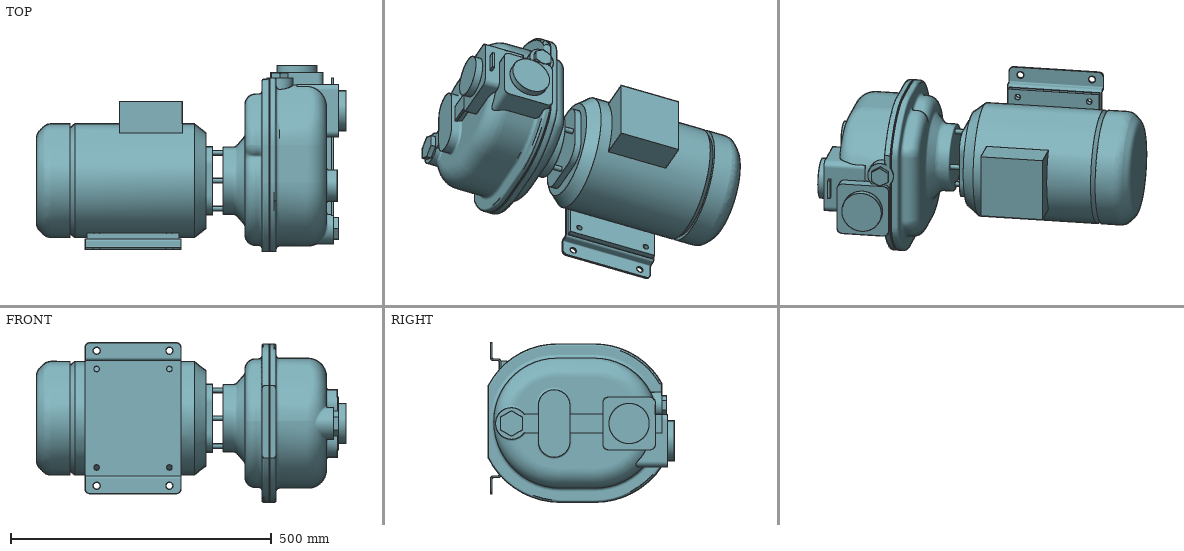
import cadquery as cq
import math


MOTOR_R = 109.5
MOTOR_LEN = 326.0
CAP_BEVEL = 19.5
CAP_BEVEL_R = 20.0
GROOVE_X = 65.0
GROOVE_W = 9.0
GROOVE_DEPTH = 8.0
CONE_LEN = 22.5
CONE_R = 91.5

END_PLATE_X = MOTOR_LEN
END_PLATE_T = 12.5
END_PLATE_SIZE = 131.0
END_PLATE_CORNER_R = 35.0

BOX_X0 = 159.5
BOX_LEN = 120.5
BOX_TOP_Y = 152.0
BOX_WIDTH = 120.0

FOOT_X = 185.5
FOOT_BLOCK_LEN = 177.0
FOOT_TOP_Y = -100.5
FOOT_BLOCK_Y = -112.0
FOOT_BLOCK_HALF_Z = 110.0
SHEET_LEN = 184.0
SHEET_T = 3.5
SHEET_WEB_Z = 114.0
SHEET_RIM_Y = -132.0
SHEET_RIM_Z = 145.0
BEND_R = 2.0
RIM_CORNER_R = 9.5
HOLE_PITCH_X = 140.0
RIM_HOLE_D = 13.0
RIM_HOLE_Z = 129.5
PLATE_HOLE_D = 10.5
PLATE_HOLE_Z = 94.5

STUD_D = 9.5
STUD_CIRCLE_R = 53.5
STUD_COUNT = 4

NECK_X = 358.0
NECK_R = 65.0
NECK_CONE_X = 382.0
NECK_CONE_R = 85.0
NECK_EDGE_R = 2.5
NECK_FLARE_R = 8.5
NECK_ROOT_R = 9.0
VOLUTE_X = 400.0
FLANGE_X0 = 433.0
JOINT_X = 446.5
JOINT_W = 2.5
JOINT_DEPTH = 2.0
FLANGE_X1 = 460.0
CASING_X = 557.0
PUMP_END_X = 594.5

PUMP_Z = -6.0
UPPER_R = 148.5
LOWER_R = 156.0
FAR_Y = 68.0
NEAR_UPPER_Y = -4.0
NEAR_LOWER_Y = NEAR_UPPER_Y + LOWER_R - UPPER_R
FLANGE_FLAT_Y = -136.0
FLANGE_TOP_Y = 197.5
REAR_STEP = 2.5
FLANGE_CORNER_R = 44.5
FLANGE_EDGE_R = 4.0
CASING_INSET = 27.5
VOLUTE_INSET = 28.5
CASING_TOP_Y = 183.5
CASING_CORNER_R = 41.5
CASING_EDGE_R = 36.0
CASING_ROOT_R = 6.5
VOLUTE_TOP_Y = 166.5
VOLUTE_CORNER_R = 27.0
VOLUTE_EDGE_R = 21.0
VOLUTE_ROOT_R = 6.0
NOTCH_Y = 47.0
NOTCH_R = 5.0

PORT_SIZE = 101.0
PORT_CORNER_R = 10.5
PORT_R = 38.5
PORT_ROOT_X = 500.0
PORT_ROOT_Y = 134.5
DISCHARGE_X = 500.0
DISCHARGE_Z = -43.5
DISCHARGE_FACE_Y = 208.0
DISCHARGE_END_Y = 221.0
SUCTION_Y = 134.5
SUCTION_Z = -10.0
SUCTION_FACE_X = 580.0

FILL_X = 467.0
FILL_Z = 25.0
FILL_BOSS_R = 25.0
FILL_BOSS_Y = FLANGE_TOP_Y
FILL_HEX_R = 18.5
FILL_HEX_Y = 206.0
DRAIN_Y = -91.5
DRAIN_BOSS_R = 30.5
DRAIN_BOSS_X = 571.0
DRAIN_HEX_R = 24.5
DRAIN_HEX_X = 580.0

COVER_Y = -9.5
COVER_LEN = 129.5
COVER_WIDTH = 60.5
COVER_X = 578.0
BOSS_ROOT_R = 4.0
RIB_WIDTH = 30.0
RIB_PLATE_X = 566.0
RIB_PLATE_WIDTH = 35.5

FACE_TOLERANCE = 0.05


def disc(x0, x1, radius, y=0.0, z=0.0):
    """Cylinder along X."""
    return cq.Workplane("YZ", origin=(x0, y, z)).circle(radius).extrude(x1 - x0)


def block(x0, x1, y0, y1, z0, z1):
    """Box between two corners."""
    return cq.Workplane("XY").box(x1 - x0, y1 - y0, z1 - z0, centered=False).translate((x0, y0, z0))


def motor_shell():
    """Turned motor body with rounded rear end, V groove and bevelled drive end."""
    profile = (
        cq.Workplane("XY")
        .lineTo(0, MOTOR_R - CAP_BEVEL)
        .lineTo(CAP_BEVEL, MOTOR_R)
        .lineTo(GROOVE_X, MOTOR_R)
        .lineTo(GROOVE_X, MOTOR_R - GROOVE_DEPTH)
        .lineTo(GROOVE_X + GROOVE_W, MOTOR_R)
        .lineTo(MOTOR_LEN - CONE_LEN, MOTOR_R)
        .lineTo(MOTOR_LEN, CONE_R)
        .lineTo(MOTOR_LEN, 0)
        .close()
    )
    shell = profile.revolve(360, (0, 0, 0), (1, 0, 0))
    rear_edges = cq.selectors.BoxSelector(
        (-CAP_BEVEL, -MOTOR_R, -MOTOR_R), (2 * CAP_BEVEL, MOTOR_R, MOTOR_R)
    )
    return shell.edges("%CIRCLE").edges(rear_edges).fillet(CAP_BEVEL_R)


def end_plate():
    """Square plate with rounded corners at the drive end."""
    plate = cq.Workplane("YZ", origin=(END_PLATE_X, 0, 0)).rect(END_PLATE_SIZE, END_PLATE_SIZE)
    return plate.extrude(END_PLATE_T).edges("|X").fillet(END_PLATE_CORNER_R)


def studs():
    """Studs on a circle, ending against the pump neck."""
    return (
        cq.Workplane("YZ", origin=(END_PLATE_X + END_PLATE_T, 0, 0))
        .polarArray(STUD_CIRCLE_R, 0, 360, STUD_COUNT)
        .circle(STUD_D / 2)
        .extrude(NECK_X - END_PLATE_X - END_PLATE_T)
    )


def terminal_box():
    return block(BOX_X0, BOX_X0 + BOX_LEN, 0, BOX_TOP_Y, -BOX_WIDTH / 2, BOX_WIDTH / 2)


def foot_sheet():
    """Sheet with a flat plate, bent outwards and up into a rim along both long sides."""
    plate_y = FOOT_BLOCK_Y - SHEET_T
    rim_y = SHEET_RIM_Y + SHEET_T
    web_z = SHEET_WEB_Z - SHEET_T
    reach = SHEET_T / 4
    upper_half = [
        (FOOT_BLOCK_Y, SHEET_WEB_Z), (rim_y, SHEET_WEB_Z), (rim_y, SHEET_RIM_Z),
        (SHEET_RIM_Y, SHEET_RIM_Z), (SHEET_RIM_Y, web_z), (plate_y, web_z),
    ]
    lower_half = [(y, -z) for y, z in reversed(upper_half)]
    sheet = (
        cq.Workplane("YZ", origin=(FOOT_X - SHEET_LEN / 2, 0, 0))
        .polyline(upper_half + lower_half).close()
        .extrude(SHEET_LEN)
    )

    def bend(y, z, radius):
        """Round the sheet edge along X at the given place."""
        near = cq.selectors.BoxSelector(
            (FOOT_X - reach, y - reach, z - reach), (FOOT_X + reach, y + reach, z + reach)
        )
        return sheet.edges(near).fillet(radius)

    for side in (-1, 1):
        sheet = bend(FOOT_BLOCK_Y, side * SHEET_WEB_Z, BEND_R + SHEET_T)
        sheet = bend(plate_y, side * web_z, BEND_R)
        sheet = bend(rim_y, side * SHEET_WEB_Z, BEND_R)
        sheet = bend(SHEET_RIM_Y, side * web_z, BEND_R + SHEET_T)
    rim_ends = sheet.faces(">Z or <Z").edges("|Y")
    return rim_ends.fillet(RIM_CORNER_R)


def foot_block():
    half = FOOT_BLOCK_LEN / 2
    return block(
        FOOT_X - half, FOOT_X + half, FOOT_BLOCK_Y, FOOT_TOP_Y, -FOOT_BLOCK_HALF_Z, FOOT_BLOCK_HALF_Z
    )


def foot_holes(diameter, z, y_end):
    """Four holes along Y, from below the foot up to y_end."""
    y_start = SHEET_RIM_Y - SHEET_T
    return (
        cq.Workplane("XZ", origin=(FOOT_X, y_start, 0))
        .rect(HOLE_PITCH_X, 2 * z, forConstruction=True).vertices()
        .circle(diameter / 2)
        .extrude(y_start - y_end)
    )


def build_motor():
    foot = foot_sheet().union(foot_block())
    foot = foot.cut(foot_holes(RIM_HOLE_D, RIM_HOLE_Z, FOOT_BLOCK_Y))
    foot = foot.cut(foot_holes(PLATE_HOLE_D, PLATE_HOLE_Z, FOOT_TOP_Y))
    motor = motor_shell().union(terminal_box()).union(foot)
    return motor.union(end_plate()).union(studs())


def pump_outline(x, inset, top_y, length, notch=False):
    """Solid on the pump outline: arcs moved in by inset, cut straight at top_y."""
    upper_r = UPPER_R - inset
    lower_r = LOWER_R - inset
    upper_z = PUMP_Z + upper_r
    lower_z = PUMP_Z - lower_r
    diagonal = math.sqrt(0.5)
    outline = (
        cq.Workplane("YZ", origin=(x, 0, 0))
        .moveTo(FAR_Y, lower_z)
        .lineTo(NEAR_LOWER_Y, lower_z)
        .threePointArc(
            (NEAR_LOWER_Y - lower_r * diagonal, PUMP_Z - lower_r * diagonal),
            (NEAR_LOWER_Y - lower_r, PUMP_Z),
        )
        .threePointArc(
            (NEAR_UPPER_Y - upper_r * diagonal, PUMP_Z + upper_r * diagonal),
            (NEAR_UPPER_Y, upper_z),
        )
    )
    if notch:
        notch_angle = math.asin((NOTCH_Y - NEAR_UPPER_Y) / upper_r)
        notch_z = PUMP_Z + upper_r * math.cos(notch_angle)
        lobe_r = ((FAR_Y - NOTCH_Y) ** 2 + (upper_z - notch_z) ** 2) / (2 * (upper_z - notch_z))
        lobe_angle = math.asin((FAR_Y - NOTCH_Y) / lobe_r) / 2
        near_mid = notch_angle / 2
        outline = outline.threePointArc(
            (NEAR_UPPER_Y + upper_r * math.sin(near_mid), PUMP_Z + upper_r * math.cos(near_mid)),
            (NOTCH_Y, notch_z),
        ).threePointArc(
            (FAR_Y - lobe_r * math.sin(lobe_angle), upper_z - lobe_r * (1 - math.cos(lobe_angle))),
            (FAR_Y, upper_z),
        )
    else:
        outline = outline.lineTo(FAR_Y, upper_z)
    half_span = top_y - FAR_Y
    upper_mid = math.asin(half_span / upper_r) / 2
    lower_mid = math.asin(half_span / lower_r) / 2
    outline = (
        outline
        .threePointArc(
            (FAR_Y + upper_r * math.sin(upper_mid), PUMP_Z + upper_r * math.cos(upper_mid)),
            (top_y, PUMP_Z + math.sqrt(upper_r**2 - half_span**2)),
        )
        .lineTo(top_y, PUMP_Z - math.sqrt(lower_r**2 - half_span**2))
        .threePointArc(
            (FAR_Y + lower_r * math.sin(lower_mid), PUMP_Z - lower_r * math.cos(lower_mid)),
            (FAR_Y, lower_z),
        )
        .close()
    )
    return outline.extrude(length)


def round_top_corners(solid, radius):
    """Round the two edges along X at the flat discharge side."""
    return solid.faces(">Y").edges("|X").fillet(radius)


def flange():
    """Two flange halves with rounded outer rims, a joint groove between them and a flat on the foot side."""
    rear_top_y = FLANGE_TOP_Y - REAR_STEP
    front_x = JOINT_X + JOINT_W
    rear = pump_outline(FLANGE_X0, 0, rear_top_y, JOINT_X - FLANGE_X0)
    rear = round_top_corners(rear, FLANGE_CORNER_R).faces("<X").edges().fillet(FLANGE_EDGE_R)
    rear = cut_foot_side(rear, FLANGE_FLAT_Y)
    joint = pump_outline(JOINT_X, JOINT_DEPTH, rear_top_y - JOINT_DEPTH, JOINT_W)
    joint = round_top_corners(joint, FLANGE_CORNER_R - JOINT_DEPTH)
    joint = cut_foot_side(joint, FLANGE_FLAT_Y + JOINT_DEPTH)
    front = pump_outline(front_x, 0, FLANGE_TOP_Y, FLANGE_X1 - front_x)
    front = front.faces(">X").edges().fillet(FLANGE_EDGE_R)
    front = cut_foot_side(front, FLANGE_FLAT_Y)
    return rear.union(joint).union(front)


def cut_foot_side(solid, flat_y):
    """Cut the flange straight at flat_y on the foot side."""
    return solid.cut(block(FLANGE_X0, FLANGE_X1, flat_y - LOWER_R, flat_y, -2 * LOWER_R, 2 * LOWER_R))


def casing():
    """Front half of the housing."""
    body = pump_outline(JOINT_X, CASING_INSET, CASING_TOP_Y, CASING_X - JOINT_X)
    body = round_top_corners(body, CASING_CORNER_R)
    return body.faces(">X").edges().fillet(CASING_EDGE_R)


def volute():
    """Rear bulge with a notch where the far lobe meets the near one."""
    body = pump_outline(VOLUTE_X, VOLUTE_INSET, VOLUTE_TOP_Y, JOINT_X - VOLUTE_X, notch=True)
    body = round_top_corners(body, VOLUTE_CORNER_R)
    notch_z = PUMP_Z + math.sqrt((UPPER_R - VOLUTE_INSET) ** 2 - (NOTCH_Y - NEAR_UPPER_Y) ** 2)
    notch_edge = cq.selectors.NearestToPointSelector(((VOLUTE_X + JOINT_X) / 2, NOTCH_Y, notch_z))
    body = body.edges("|X").edges(notch_edge).fillet(NOTCH_R)
    return body.faces("<X").edges().fillet(VOLUTE_EDGE_R)


def neck():
    """Round neck flaring into the rear of the volute."""
    profile = (
        cq.Workplane("XY")
        .moveTo(NECK_X, 0)
        .lineTo(NECK_X, NECK_R)
        .lineTo(NECK_CONE_X, NECK_R)
        .lineTo(VOLUTE_X, NECK_CONE_R)
        .lineTo(JOINT_X, NECK_CONE_R)
        .lineTo(JOINT_X, 0)
        .close()
    )
    body = profile.revolve(360, (0, 0, 0), (1, 0, 0))
    flare_start = cq.selectors.BoxSelector(
        (NECK_CONE_X - NECK_FLARE_R, -NECK_R, -NECK_R), (NECK_CONE_X + NECK_FLARE_R, NECK_R, NECK_R)
    )
    body = body.edges("%CIRCLE").edges(flare_start).fillet(NECK_FLARE_R)
    return body.faces("<X").edges().fillet(NECK_EDGE_R)


def discharge_port():
    """Square flange and round spigot on top of the casing."""
    half = PORT_SIZE / 2
    port = block(
        DISCHARGE_X - half, DISCHARGE_X + half, PORT_ROOT_Y, DISCHARGE_FACE_Y,
        DISCHARGE_Z - half, DISCHARGE_Z + half,
    ).edges("|Y").fillet(PORT_CORNER_R)
    spigot = (
        cq.Workplane("XZ", origin=(DISCHARGE_X, DISCHARGE_FACE_Y, DISCHARGE_Z))
        .circle(PORT_R)
        .extrude(DISCHARGE_FACE_Y - DISCHARGE_END_Y)
    )
    return port.union(spigot)


def suction_port():
    """Square flange and round spigot on the casing front."""
    half = PORT_SIZE / 2
    port = block(
        PORT_ROOT_X, SUCTION_FACE_X, SUCTION_Y - half, SUCTION_Y + half, SUCTION_Z - half, SUCTION_Z + half
    ).edges("|X").fillet(PORT_CORNER_R)
    return port.union(disc(SUCTION_FACE_X, PUMP_END_X, PORT_R, SUCTION_Y, SUCTION_Z))


def fill_plug():
    """Boss with a hexagon plug beside the discharge port."""
    boss = cq.Workplane("XZ", origin=(FILL_X, PORT_ROOT_Y, FILL_Z)).circle(FILL_BOSS_R)
    boss = boss.extrude(PORT_ROOT_Y - FILL_BOSS_Y)
    plug = (
        cq.Workplane("XZ", origin=(FILL_X, FILL_BOSS_Y, FILL_Z))
        .transformed(rotate=(0, 0, 90))
        .polygon(6, 2 * FILL_HEX_R)
        .extrude(FILL_BOSS_Y - FILL_HEX_Y)
    )
    return boss.union(plug)


def drain_boss():
    """Round boss low on the casing front."""
    return disc(PORT_ROOT_X, DRAIN_BOSS_X, DRAIN_BOSS_R, DRAIN_Y, SUCTION_Z)


def drain_plug():
    """Hexagon plug on the drain boss."""
    return (
        cq.Workplane("YZ", origin=(DRAIN_BOSS_X, DRAIN_Y, SUCTION_Z))
        .transformed(rotate=(0, 0, 90))
        .polygon(6, 2 * DRAIN_HEX_R)
        .extrude(DRAIN_HEX_X - DRAIN_BOSS_X)
    )


def front_cover():
    """Oblong cover in the middle of the casing front."""
    return (
        cq.Workplane("YZ", origin=(CASING_X, COVER_Y, SUCTION_Z))
        .slot2D(COVER_LEN, COVER_WIDTH, 90)
        .extrude(COVER_X - CASING_X)
    )


def front_rib():
    """Rib along Y from the drain boss to the suction port, topped by a plate that reaches past the port."""
    rib_half = RIB_WIDTH / 2
    plate_half = RIB_PLATE_WIDTH / 2
    rib = block(CASING_X, RIB_PLATE_X, DRAIN_Y, SUCTION_Y, SUCTION_Z - rib_half, SUCTION_Z + rib_half)
    plate = block(
        RIB_PLATE_X, DRAIN_BOSS_X, DRAIN_Y, FLANGE_TOP_Y, SUCTION_Z - plate_half, SUCTION_Z + plate_half
    )
    return rib.union(plate)


def blend_root(body, face_x, radius):
    """Round the inner corner where a housing part rises from the flange face at face_x."""
    flange_face = max(
        (face for face in body.faces("|X").vals() if abs(face.Center().x - face_x) < FACE_TOLERANCE),
        key=lambda face: face.Area(),
    )
    root_edges = flange_face.innerWires()[0].Edges()
    return cq.Workplane(body.val().fillet(radius, root_edges))


def blend_boss(body, boss):
    """Join a boss along X to the body and round the corner where it leaves the body's curved face."""
    joined = body.union(boss)
    boss_end = boss.faces(">X").val().BoundingBox()
    near_boss = cq.selectors.BoxSelector(
        (CASING_X - CASING_EDGE_R, boss_end.ymin - FACE_TOLERANCE, boss_end.zmin - FACE_TOLERANCE),
        (CASING_X + FACE_TOLERANCE, boss_end.ymax + FACE_TOLERANCE, boss_end.zmax + FACE_TOLERANCE),
        boundingbox=True,
    )
    root_edges = joined.edges(near_boss)
    return joined.newObject([joined.val().fillet(BOSS_ROOT_R, root_edges.vals())])


def blend_neck(body):
    """Round the corner where the neck runs into the volute face."""
    near_root = cq.selectors.BoxSelector(
        (VOLUTE_X - FACE_TOLERANCE, -NECK_CONE_R - FACE_TOLERANCE, -NECK_CONE_R - FACE_TOLERANCE),
        (VOLUTE_X + FACE_TOLERANCE, NECK_CONE_R + FACE_TOLERANCE, NECK_CONE_R + FACE_TOLERANCE),
        boundingbox=True,
    )
    return body.edges(near_root).fillet(NECK_ROOT_R)


def build_pump():
    front_body = blend_boss(casing(), drain_boss())
    front_body = blend_boss(front_body, front_cover())
    housing = flange().union(front_body).union(volute())
    housing = blend_root(housing, FLANGE_X1, CASING_ROOT_R)
    housing = blend_root(housing, FLANGE_X0, VOLUTE_ROOT_R)
    pump = blend_neck(housing.union(neck()))
    for feature in (discharge_port, suction_port, fill_plug, drain_plug, front_rib):
        pump = pump.union(feature())
    return pump


motor = build_motor()
pump = build_pump()
result = cq.Compound.makeCompound([motor.solids().val(), pump.solids().val()])